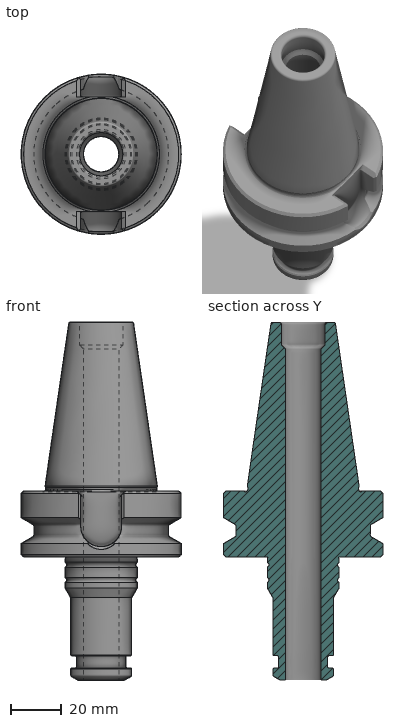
import cadquery as cq
import math

TAN_30 = math.tan(math.radians(30))
COS_30 = math.cos(math.radians(30))
SIN_45 = math.sin(math.radians(45))

gauge_radius = 44.45 / 2
taper_slope = 3.5 / 24
taper_top = 65.4
taper_edge_z = 0.9
taper_edge_height = 0.5
top_round = 0.8
neck_radius = 43.85 / 2
neck_fillet = 1.0
neck_recess_depth = 0.4

flange_radius = 63.0 / 2
flange_top = -1.0
flange_bottom = -27.0
flange_chamfer = 1.0
groove_center_z = -16.6
groove_floor_radius = 53.0 / 2
groove_floor_half = 2.2
groove_floor_fillet = 0.7
groove_flank_height = (flange_radius - groove_floor_radius) * TAN_30

collar_radius = 28.5 / 2
collar_end_z = -39.1
collar_relief_radius = 14.0
collar_relief_end_z = -28.1
ring_groove_centers = (-30.05, -36.05)
ring_groove_half = 1.05
ring_groove_edge = 0.35
ring_groove_floor_radius = 13.6

shank_radius = 24.0 / 2
shank_neck_radius = 19.5 / 2
shank_neck_top = -65.9
shank_neck_bottom = -70.55
shank_neck_fillet = 0.4
shank_edge = 0.45
overall_length = 140.9
head_bottom = taper_top - overall_length
head_corner_z = -73.8
head_round = 1.0

through_radius = 13.84 / 2
bore_radius = 17.0 / 2
bore_rim_round = 1.0
bore_depth = 9.0

slot_half_width = 16.1 / 2
slot_floor_y = 22.6
slot_bottom = -22.9
slot_floor_fillet = 0.5
slot_top_chamfer = 1.6
slot_side_chamfer = 1.0
side_chamfer_start_y = 29.3
rim_chamfer_start_y = 30.4
slot_clearance = 1.0


def taper_radius(z):
    return gauge_radius - taper_slope * z


def ring_groove(outline, center_z):
    """Cut one rounded groove into the collar while its outline runs downward."""
    lip = ring_groove_half - ring_groove_edge
    lip_radius = collar_radius - ring_groove_edge
    return (
        outline.lineTo(collar_radius, center_z + ring_groove_half)
        .lineTo(lip_radius, center_z + lip)
        .threePointArc((ring_groove_floor_radius, center_z), (lip_radius, center_z - lip))
        .lineTo(collar_radius, center_z - ring_groove_half)
    )


def turned_body():
    recess_floor = flange_top - neck_recess_depth
    fillet_dip = neck_fillet * (1 - SIN_45)
    outline = (
        cq.Workplane("XZ")
        .moveTo(0, taper_top)
        .lineTo(taper_radius(taper_top), taper_top)
        .lineTo(taper_radius(taper_edge_z), taper_edge_z)
        .lineTo(neck_radius, taper_edge_z - taper_edge_height)
        .lineTo(neck_radius, recess_floor + neck_fillet)
        .threePointArc(
            (neck_radius + fillet_dip, recess_floor + fillet_dip),
            (neck_radius + neck_fillet, recess_floor),
        )
        .lineTo(neck_radius + neck_fillet, flange_top)
        .lineTo(flange_radius - flange_chamfer, flange_top)
        .lineTo(flange_radius, flange_top - flange_chamfer)
        .lineTo(flange_radius, groove_center_z + groove_floor_half + groove_flank_height)
        .lineTo(groove_floor_radius, groove_center_z + groove_floor_half)
        .lineTo(groove_floor_radius, groove_center_z - groove_floor_half)
        .lineTo(flange_radius, groove_center_z - groove_floor_half - groove_flank_height)
        .lineTo(flange_radius, flange_bottom + flange_chamfer)
        .lineTo(flange_radius - flange_chamfer, flange_bottom)
    )

    outline = outline.lineTo(collar_relief_radius, flange_bottom)
    outline = outline.lineTo(collar_radius, collar_relief_end_z)
    for center_z in ring_groove_centers:
        outline = ring_groove(outline, center_z)
    cone_height = (collar_radius - shank_radius) / TAN_30
    outline = outline.lineTo(collar_radius, collar_end_z)
    outline = outline.lineTo(shank_radius, collar_end_z - cone_height)

    neck_dip = shank_neck_fillet * (1 - SIN_45)
    round_length = head_round * TAN_30
    round_mid_radius = shank_radius - head_round * (1 - COS_30)
    round_mid_z = head_corner_z + round_length - head_round / 2
    outline = (
        outline.lineTo(shank_radius, shank_neck_top + shank_edge)
        .lineTo(shank_radius - shank_edge, shank_neck_top)
        .lineTo(shank_neck_radius + shank_neck_fillet, shank_neck_top)
        .threePointArc(
            (shank_neck_radius + neck_dip, shank_neck_top - neck_dip),
            (shank_neck_radius, shank_neck_top - shank_neck_fillet),
        )
        .lineTo(shank_neck_radius, shank_neck_bottom + shank_neck_fillet)
        .threePointArc(
            (shank_neck_radius + neck_dip, shank_neck_bottom + neck_dip),
            (shank_neck_radius + shank_neck_fillet, shank_neck_bottom),
        )
        .lineTo(shank_radius - shank_edge, shank_neck_bottom)
        .lineTo(shank_radius, shank_neck_bottom - shank_edge)
        .lineTo(shank_radius, head_corner_z + round_length)
        .threePointArc(
            (round_mid_radius, round_mid_z),
            (shank_radius - round_length * COS_30, head_corner_z - round_length / 2),
        )
        .lineTo(shank_radius - (head_corner_z - head_bottom) / TAN_30, head_bottom)
        .lineTo(0, head_bottom)
        .close()
    )
    body = outline.revolve(360, (0, 0, 0), (0, 1, 0))
    body = body.faces(">Z").edges().fillet(top_round)
    floor_zone = cq.selectors.BoxSelector(
        (-flange_radius, -flange_radius, groove_center_z - groove_floor_half),
        (flange_radius, flange_radius, groove_center_z + groove_floor_half),
    )
    groove_floor = body.faces(floor_zone)
    return groove_floor.edges("%CIRCLE").fillet(groove_floor_fillet)


def bore_cutter():
    """Stepped bore: a wide bore, a 45 degree cone, then a hole through to the bottom."""
    cone_top = taper_top - bore_depth
    cone_height = bore_radius - through_radius
    return (
        cq.Workplane("XZ")
        .moveTo(0, taper_top)
        .lineTo(bore_radius, taper_top)
        .lineTo(bore_radius, cone_top)
        .lineTo(through_radius, cone_top - cone_height)
        .lineTo(through_radius, head_bottom)
        .lineTo(0, head_bottom)
        .close()
        .revolve(360, (0, 0, 0), (0, 1, 0))
    )


def slot_profile(y):
    """Slot outline on the plane at -y: straight sides and a round bottom, open above the flange."""
    side_top = flange_top + slot_clearance
    round_center_z = slot_bottom + slot_half_width
    return (
        cq.Workplane("XZ", origin=(0, -y, 0))
        .moveTo(-slot_half_width, side_top)
        .lineTo(-slot_half_width, round_center_z)
        .threePointArc((0, slot_bottom), (slot_half_width, round_center_z))
        .lineTo(slot_half_width, side_top)
        .close()
    )


def slot_cutter():
    """Drive slot on the -Y side, with its edge chamfers."""
    reach = flange_radius + slot_clearance - slot_floor_y
    groove = slot_profile(slot_floor_y).extrude(reach)
    groove = groove.faces(">Y").edges("not >Z").fillet(slot_floor_fillet)

    chamfer_half = slot_half_width + slot_top_chamfer
    top_chamfer = (
        cq.Workplane("XZ", origin=(0, -slot_floor_y, 0))
        .moveTo(0, flange_top)
        .lineTo(chamfer_half, flange_top)
        .lineTo(0, flange_top - chamfer_half)
        .lineTo(-chamfer_half, flange_top)
        .close()
        .extrude(reach)
    )

    side_reach = 2 * slot_side_chamfer
    side_start = -side_chamfer_start_y
    side_chamfer = (
        cq.Workplane("XY", origin=(0, 0, groove_center_z))
        .moveTo(-slot_half_width, side_start)
        .lineTo(slot_half_width, side_start)
        .lineTo(slot_half_width + side_reach, side_start - side_reach)
        .lineTo(-slot_half_width - side_reach, side_start - side_reach)
        .close()
        .extrude(flange_top - groove_center_z)
    )

    rim_chamfer = slot_profile(rim_chamfer_start_y).extrude(side_reach, taper=-45)
    return groove.union(top_chamfer).union(side_chamfer).union(rim_chamfer)


result = turned_body().cut(bore_cutter())
bore_rim = cq.selectors.RadiusNthSelector(0)
result = result.faces(">Z").edges(bore_rim).fillet(bore_rim_round)
slot = slot_cutter()
for angle in (0, 180):
    result = result.cut(slot.rotate((0, 0, 0), (0, 0, 1), angle))